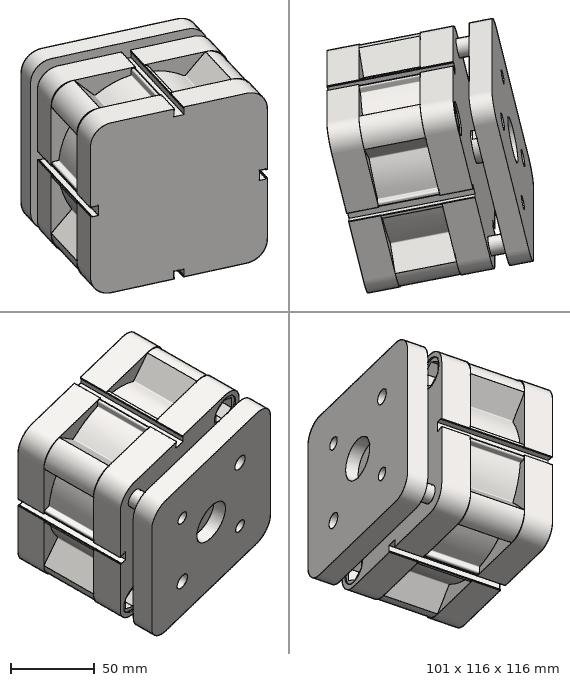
import cadquery as cq
import math


side = 116.0
corner_radius = 13.7
plate_thickness = 14.0
housing_start = 23.8
tube_start = 44.0
tube_end = 81.4
housing_end = 101.0

half_side = side / 2
tube_length = tube_end - tube_start

bore_diameter = 28.0
bore_depth = 8.7
plate_hole_offset = 28.2
tapped_hole_diameter = 8.5
clearance_hole_diameter = 10.1

piston_rod_diameter = 20.0
piston_rod_chamfer = 0.5
flat_spacing = 16.7
flat_end = 22.7
guide_rod_diameter = 12.0
corner_offset = half_side - corner_radius

screw_recess_diameter = 20.6
screw_recess_depth = 0.9
hex_across_flats = 15.0
hex_depth = 8.7

barrel_radius = 53.4
tube_corner_radius = 15.1
web_width = 21.1
web_fillet = 0.8
ridge_width = 11.1
ridge_top = 57.4
ridge_round = 1.0
ridge_fillet = 0.6

slot_width = 5.8
slot_depth = 5.2
slot_lip = 0.9
slot_undercut = 0.5
slot_mouth_chamfer = 0.5

AXIS_START = (0, 0, 0)
AXIS_END = (1, 0, 0)
QUARTER_TURNS = (0, 90, 180, 270)


def section(x):
    """Sketching plane across the axis: its local axes are Y and Z, its normal is X."""
    return cq.Workplane("YZ", origin=(x, 0, 0))


def rounded_square(start, end, radius):
    return section(start).rect(side, side).extrude(end - start).edges("|X").fillet(radius)


def four_sides(shape):
    """The shape repeated on all four sides of the section."""
    return [shape.rotate(AXIS_START, AXIS_END, angle) for angle in QUARTER_TURNS]


def barrel_joints(on_diagonal):
    """Filter for the inner edges where the webs (on diagonal) or the ridges leave the barrel."""
    def is_joint(edge):
        middle = edge.Center()
        on_barrel = abs(math.hypot(middle.y, middle.z) - barrel_radius) < 0.01
        near_side_middle = min(abs(middle.y), abs(middle.z)) < ridge_width
        return on_barrel and near_side_middle != on_diagonal
    return is_joint


def make_ridge():
    ridge_base = barrel_radius / 2
    return (
        section(tube_start)
        .center(0, (ridge_base + ridge_top) / 2)
        .rect(ridge_width, ridge_top - ridge_base)
        .extrude(tube_length)
        .edges("|X and >Z")
        .fillet(ridge_round)
    )


def make_tube():
    """Round barrel with diagonal webs to the corners and a ridge along each side."""
    webs = section(tube_start).rect(web_width, 2 * side).extrude(tube_length)
    webs = webs.union(webs.rotate(AXIS_START, AXIS_END, 90)).rotate(AXIS_START, AXIS_END, 45)
    tube = section(tube_start).circle(barrel_radius).extrude(tube_length)
    tube = tube.union(webs.intersect(rounded_square(tube_start, tube_end, tube_corner_radius)))
    for ridge in four_sides(make_ridge()):
        tube = tube.union(ridge)
    tube = tube.edges("|X").filter(barrel_joints(True)).fillet(web_fillet)
    return tube.edges("|X").filter(barrel_joints(False)).fillet(ridge_fillet)


def make_slot():
    """Undercut slot through the top side, with a chamfered mouth along the ridge."""
    length = housing_end - housing_start
    inner_width = slot_width + 2 * slot_undercut
    inner_height = slot_depth - slot_lip
    mouth = section(housing_start).center(0, half_side - slot_depth / 2)
    mouth = mouth.rect(slot_width, slot_depth).extrude(length)
    inside = section(housing_start).center(0, half_side - slot_depth + inner_height / 2)
    inside = inside.rect(inner_width, inner_height).extrude(length)
    half_mouth = slot_width / 2
    flare = (
        section(tube_start)
        .moveTo(-half_mouth - slot_mouth_chamfer, ridge_top)
        .lineTo(half_mouth + slot_mouth_chamfer, ridge_top)
        .lineTo(half_mouth, ridge_top - slot_mouth_chamfer)
        .lineTo(-half_mouth, ridge_top - slot_mouth_chamfer)
        .close()
        .extrude(tube_length)
    )
    return mouth.union(inside).union(flare)


def make_screw_socket(y, z):
    """Shallow round recess with a hexagon socket whose flats face +Y and -Y."""
    recess = section(housing_start).center(y, z).circle(screw_recess_diameter / 2).extrude(screw_recess_depth)
    hex_diameter = hex_across_flats / math.cos(math.radians(30))
    socket = (
        section(housing_start)
        .polygon(6, hex_diameter)
        .extrude(screw_recess_depth + hex_depth)
        .rotate(AXIS_START, AXIS_END, 90)
        .translate((0, y, z))
    )
    return recess.union(socket)


def make_housing():
    """Front cap, tube and rear cap in one piece."""
    housing = rounded_square(housing_start, tube_start, corner_radius)
    housing = housing.union(make_tube())
    housing = housing.union(rounded_square(tube_end, housing_end, corner_radius))
    for slot in four_sides(make_slot()):
        housing = housing.cut(slot)
    for direction in (1, -1):
        socket = make_screw_socket(-direction * corner_offset, direction * corner_offset)
        housing = housing.cut(socket)
    return housing


def make_plate():
    plate = rounded_square(0, plate_thickness, corner_radius)
    plate = plate.cut(section(0).circle(bore_diameter / 2).extrude(bore_depth))
    for diagonal, diameter in ((1, tapped_hole_diameter), (-1, clearance_hole_diameter)):
        centers = [(sign * diagonal * plate_hole_offset, sign * plate_hole_offset) for sign in (1, -1)]
        plate = plate.cut(section(0).pushPoints(centers).circle(diameter / 2).extrude(plate_thickness))
    return plate


def make_piston_rod():
    """Round rod between plate and housing, with two wrench flats facing +Y and -Y."""
    rod = section(plate_thickness).circle(piston_rod_diameter / 2).extrude(housing_start - plate_thickness)
    rod = rod.faces("<X").chamfer(piston_rod_chamfer)
    flat_length = flat_end - plate_thickness
    across_flats = section(plate_thickness).rect(flat_spacing, side).extrude(flat_length)
    beside_flats = section(plate_thickness).rect(side, side).extrude(flat_length).cut(across_flats)
    return rod.cut(beside_flats)


def make_guide_rod(y, z):
    rod = section(plate_thickness).center(y, z).circle(guide_rod_diameter / 2)
    return rod.extrude(housing_start - plate_thickness)


housing = make_housing()
plate = make_plate()
piston_rod = make_piston_rod()
guide_rods = [make_guide_rod(sign * corner_offset, sign * corner_offset) for sign in (1, -1)]

result = cq.Compound.makeCompound(
    [housing.val(), plate.val(), piston_rod.val(), *[rod.val() for rod in guide_rods]]
)